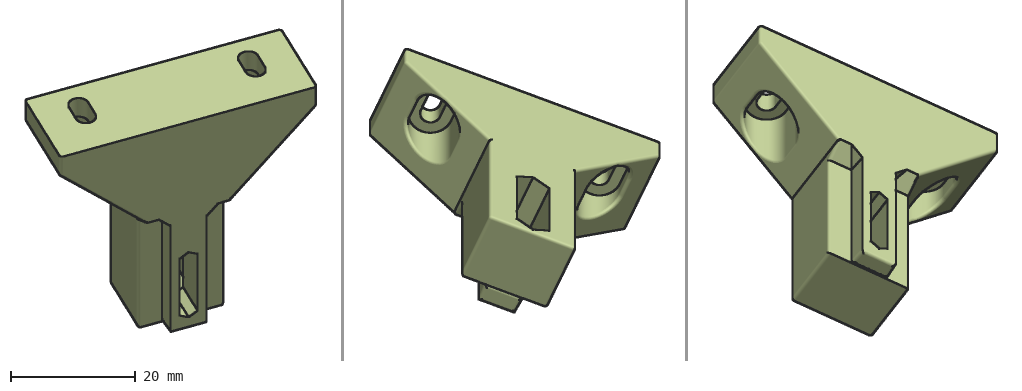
import cadquery as cq
import math

thickness = 15.0
plate_length = 44.5
height = 44.4
leg_width = 15.0
plate_edge = 4.2
gusset_height = 15.1
edge_radius = 0.55

recess_depth = 3.15
recess_rise = 2.05
rib_base_width = 6.65
rib_tip_width = 6.23

slot_x = -1.55
slot_pitch = 29.45
slot_straight = 3.0
slot_width = 3.3
head_width = 7.1
slot_floor = 4.0
pocket_rim_radius = 0.45

nut_slot_z = 9.4
nut_width = 5.7
nut_straight = 13.65
bolt_width = 3.1
bolt_straight = 12.2
nut_depth = 8.9

front_x = thickness / 2
back_x = -front_x
top_z = height / 2
bottom_z = -top_z
half_plate = plate_length / 2
half_leg = leg_width / 2
plate_z = top_z - plate_edge
bend_z = plate_z - gusset_height
recess_x = front_x - recess_depth
recess_z = bend_z - recess_rise

near = 0.05


def is_inner_corner(centre):
    """True for the edges along X where the leg meets the gussets."""
    return abs(centre.x) < near and abs(centre.z - bend_z) < near


def bracket_body():
    """T-shaped body with gussets under the plate and all but its top edges rounded."""
    right_side = [
        (half_leg, bottom_z),
        (half_leg, bend_z),
        (half_plate, plate_z),
        (half_plate, top_z),
    ]
    left_side = [(-y, z) for y, z in reversed(right_side)]
    body = (
        cq.Workplane("YZ", origin=(back_x, 0, 0))
        .polyline(right_side + left_side)
        .close()
        .extrude(thickness)
    )
    outer_edges = [
        edge for edge in body.edges().vals()
        if edge.Center().z < top_z - near and not is_inner_corner(edge.Center())
    ]
    return body.newObject(outer_edges).fillet(edge_radius)


def stepped_leg():
    """Thinner leg whose +X face slopes out to the full thickness at the gussets."""
    leg = (
        cq.Workplane("XZ", origin=(0, half_leg, 0))
        .polyline([
            (back_x, bottom_z),
            (recess_x, bottom_z),
            (recess_x, recess_z),
            (front_x, bend_z),
            (back_x, bend_z),
        ])
        .close()
        .extrude(leg_width)
    )
    step_edges = [
        edge for edge in leg.edges().vals()
        if edge.Center().x > recess_x - near and edge.Center().z < bend_z - near
        and abs(edge.Center().y) > near
    ]
    return leg.newObject(step_edges).fillet(edge_radius)


def rib():
    """Tapered rib on the recessed face, flaring at 45 degrees into the gussets."""
    def section(x, width):
        half = width / 2
        flare = half + recess_rise
        outline = [(half, bottom_z), (half, recess_z), (flare, bend_z)]
        mirrored = [(-y, z) for y, z in reversed(outline)]
        return cq.Wire.makePolygon([cq.Vector(x, y, z) for y, z in outline + mirrored], close=True)

    profiles = [section(recess_x, rib_base_width), section(front_x, rib_tip_width)]
    tapered = cq.Workplane(cq.Solid.makeLoft(profiles, True))
    return tapered.faces("<Z").edges("not #Y").fillet(edge_radius)


def rounded_slot(y, width, bottom, top):
    """Upright slot, long in X, for a mounting screw or its head."""
    return (
        cq.Workplane("XY", origin=(slot_x, y, bottom))
        .slot2D(slot_straight + width, width)
        .extrude(top - bottom)
    )


def pocket_rim(part, y):
    """Edges where one screw-head pocket opens through its sloping gusset."""
    reach = head_width / 2 + near
    half_pocket = slot_straight / 2 + reach
    around_pocket = cq.selectors.BoxSelector(
        (slot_x - half_pocket, y - reach, bend_z),
        (slot_x + half_pocket, y + reach, top_z - slot_floor - near),
        boundingbox=True,
    )
    return part.edges(around_pocket).edges("not |Z")


def pointed_slot(width, straight, depth):
    """Slot along Z with hexagon-shaped ends, cut from the -X face."""
    half = width / 2
    shoulder = straight / 2
    tip = shoulder + half * math.tan(math.radians(30))
    return (
        cq.Workplane("YZ", origin=(back_x, 0, bottom_z + nut_slot_z))
        .polyline([
            (half, -shoulder),
            (half, shoulder),
            (0, tip),
            (-half, shoulder),
            (-half, -shoulder),
            (0, -tip),
        ])
        .close()
        .extrude(depth)
    )


kept_below = stepped_leg().union(rib())
kept_above = cq.Workplane("XY", origin=(0, 0, bend_z)).box(
    thickness, plate_length, top_z - bend_z, centered=(True, True, False)
)
result = bracket_body().intersect(kept_above.union(kept_below))

for y in (-slot_pitch / 2, slot_pitch / 2):
    result = result.cut(rounded_slot(y, slot_width, bend_z, top_z))
    result = result.cut(rounded_slot(y, head_width, bend_z, top_z - slot_floor))
    result = pocket_rim(result, y).fillet(pocket_rim_radius)

result = result.cut(pointed_slot(bolt_width, bolt_straight, thickness))
result = result.cut(pointed_slot(nut_width, nut_straight, nut_depth))